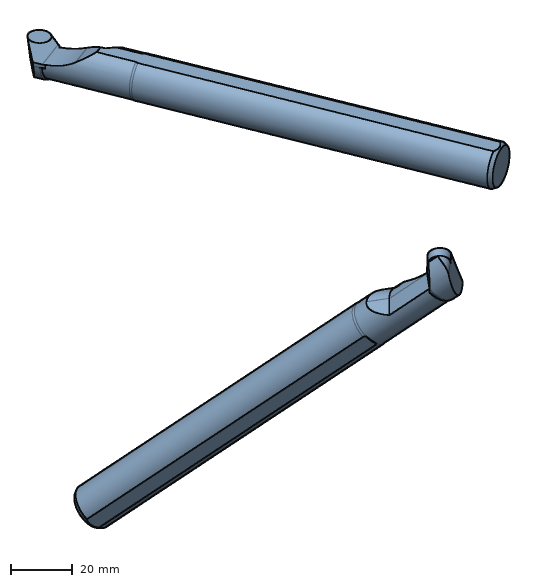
import cadquery as cq
import math

length = 170.0
shank_radius = 8.0
shank_start = 42.0
flat_height = 7.5
rear_chamfer_length = 1.5
rear_chamfer_depth = 0.8
front_chamfer_length = 0.8
front_chamfer_depth = 0.12
neck_radius = shank_radius - front_chamfer_depth
neck_start = 9.4

head_radius = 9.2
head_offset = 1.2
head_end = 12.4
head_fillet = 1.9
clearance_angle = 6.0
front_edge_angle = 60.0
arm_angle = 45.0

insert_radius = 4.0
insert_thickness = 3.2
tip_reach = 11.0
insert_x = insert_radius
insert_y = tip_reach - insert_radius

rake_height = 1.0
rake_angle = 3.0
rake_allowance = 1.4
flute_radius = 22.1
flute_angle = 30.0
flute_end = 28.4

side_wall = 3.82
side_arc_start = 0.7
side_radius = 8.8
ramp_start = 30.0
ramp_angle = 32.0

margin = 34.0


def rod(radius, start, end, y=0.0):
    return cq.Workplane("YZ", origin=(start, y, 0)).circle(radius).extrude(end - start)


def make_shank():
    shank = rod(shank_radius, shank_start, length)
    shank = shank.faces(">X").chamfer(rear_chamfer_length, rear_chamfer_depth)
    shank = shank.faces("<X").chamfer(front_chamfer_length, front_chamfer_depth)
    slab = cq.Workplane("XY").box(3 * length, margin, 2 * flat_height)
    return shank.intersect(slab)


def side_cutter():
    """One cross-section swept along the neck, then along the oblique ramp."""
    arc_center_y = side_wall - side_radius

    def arc_point(angle):
        return (arc_center_y + side_radius * math.cos(angle), side_arc_start + side_radius * math.sin(angle))

    arc_end = arc_point(math.pi / 2)
    section = (
        cq.Workplane("YZ", origin=(ramp_start, 0, 0))
        .moveTo(side_wall, -margin)
        .lineTo(side_wall, side_arc_start)
        .threePointArc(arc_point(math.pi / 4), arc_end)
        .lineTo(margin, arc_end[1])
        .lineTo(margin, -margin)
        .close()
        .wire()
        .val()
    )
    ramp_rise = margin * math.tan(math.radians(ramp_angle))
    straight = cq.Solid.extrudeLinear(section, [], cq.Vector(-margin, 0, 0))
    ramp = cq.Solid.extrudeLinear(section, [], cq.Vector(margin, ramp_rise, 0))
    return cq.Workplane(straight).union(cq.Workplane(ramp))


def make_neck():
    neck = rod(neck_radius, neck_start, shank_start)
    above_flat = cq.Workplane("XY", origin=(0, 0, flat_height)).rect(3 * length, margin).extrude(margin)
    return neck.cut(above_flat).cut(side_cutter())


def make_head():
    """Round head trimmed to the drafted outline that wraps the insert."""
    front = math.radians(front_edge_angle)
    arm = math.radians(arm_angle)
    front_tangent = (insert_x - insert_radius * math.sin(front), insert_y - insert_radius * math.cos(front))
    arm_tangent = (insert_x + insert_radius * math.sin(arm), insert_y + insert_radius * math.cos(arm))
    middle = math.pi - (arm + front) / 2
    arc_middle = (insert_x + insert_radius * math.cos(middle), insert_y + insert_radius * math.sin(middle))
    arm_corner_x = arm_tangent[0] + (arm_tangent[1] - side_wall) / math.tan(arm)
    front_end_y = -margin / 2
    front_end_x = front_tangent[0] + (front_tangent[1] - front_end_y) / math.tan(front)
    profile = (
        cq.Workplane("XY", origin=(0, 0, rake_height))
        .moveTo(*arm_tangent)
        .threePointArc(arc_middle, front_tangent)
        .lineTo(front_end_x, front_end_y)
        .lineTo(margin, front_end_y)
        .lineTo(margin, side_wall)
        .lineTo(arm_corner_x, side_wall)
        .close()
    )
    profile_wire = profile.wire().val()

    def drafted(height, draft):
        return cq.Workplane("XY").add(profile_wire).toPending().extrude(height, taper=draft)

    outline = drafted(-2 * head_radius, clearance_angle).union(drafted(rake_allowance, -clearance_angle))
    head = rod(head_radius, -margin, head_end, head_offset).faces(">X").edges().fillet(head_fillet)
    upper_height = rake_height + rake_allowance
    upper = cq.Workplane("XY").box(margin + head_end, 2 * head_radius, upper_height, centered=(False, True, False))
    upper = upper.translate((-margin, head_offset, 0))
    return head.union(upper).intersect(outline)


def rake_tilt(body):
    return body.rotate((0, 0, rake_height), (1, 0, rake_height), -rake_angle)


def flute_cutter():
    """Flat rake face, then an arc and a straight slope that rise out through the top flat."""
    slope = math.radians(flute_angle)
    tangent_length = flute_radius * math.tan(slope / 2)
    flute_start = flute_end - (flat_height - rake_height) / math.tan(slope) - tangent_length

    def arc_point(angle):
        return (flute_start + flute_radius * math.sin(angle), rake_height + flute_radius * (1 - math.cos(angle)))

    arc_end = arc_point(slope)
    runout_end = (arc_end[0] + margin, arc_end[1] + margin * math.tan(slope))
    cutter = (
        cq.Workplane("XZ", origin=(0, margin, 0))
        .moveTo(-margin, rake_height)
        .lineTo(flute_start, rake_height)
        .threePointArc(arc_point(slope / 2), arc_end)
        .lineTo(*runout_end)
        .lineTo(-margin, runout_end[1])
        .close()
        .extrude(2 * margin)
    )
    return rake_tilt(cutter)


def make_insert():
    """Conical button insert, sliced parallel to the rake face."""
    cone = (
        cq.Workplane("XY", origin=(insert_x, insert_y, rake_height))
        .circle(insert_radius)
        .extrude(-2 * insert_thickness, taper=clearance_angle)
    )
    slab = cq.Workplane("XY", origin=(0, 0, rake_height)).rect(margin, margin).extrude(-insert_thickness)
    return cone.intersect(rake_tilt(slab))


insert = make_insert()
holder = make_shank().union(make_neck()).union(make_head()).clean().cut(flute_cutter()).cut(insert)

result = cq.Compound.makeCompound([holder.val(), insert.val()])